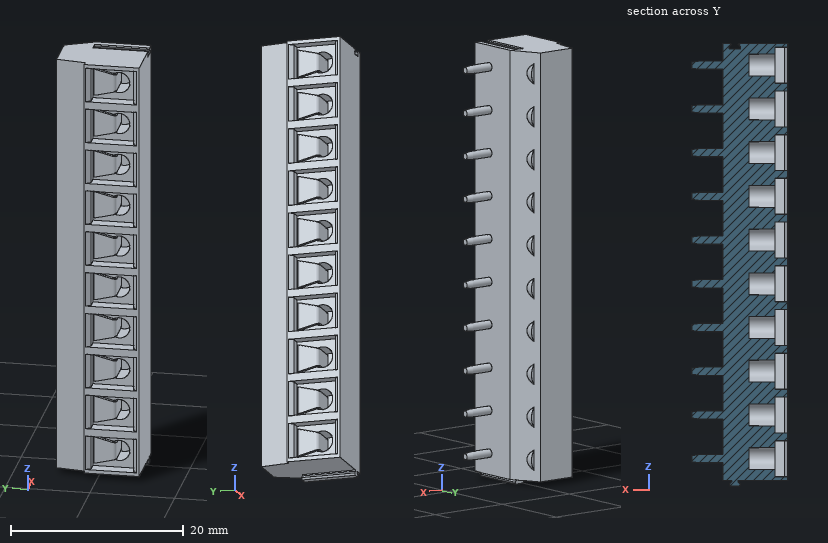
import cadquery as cq

pole_count = 10
pitch = 5.08
body_width = 7.6
body_depth = 10.0
body_height = pole_count * pitch

shoulder_y = 6.5
shoulder_width = 0.6
crest_start_x = 1.1
crest_end_x = 5.9

total_width = 11.2
pin_diameter = 1.0
pin_tip_diameter = 0.75
pin_taper_length = 0.85
pin_y = 2.65

collar_diameter = 4.0
collar_reach_x = 6.65
collar_top_y = 9.3
collar_height = 2.0

pocket_bottom_y = 0.3
pocket_top_y = 6.32
pocket_height = 4.15
pocket_depth = 1.5
bevel_depth = 0.4
lower_bevel = 0.42
upper_bevel = 0.57
wire_hole_diameter = 2.5
wire_hole_depth = 3.0

tongue_root_y = 5.65
tongue_tip_y = 2.92
tongue_root_width = 3.35
tongue_tip_width = 2.0
tongue_thickness = 0.42
tongue_leg_thickness = 0.3

rail_x = 6.17
rail_height = 0.68
neck_width = 0.77
head_width = 1.3
foot_width = 1.05
neck_length = 0.15
flare_end = 0.42
groove_mouth_width = 1.08
groove_throat_depth = 0.12
groove_depth = 0.65


def make_body():
    outline = [
        (0, 0),
        (body_width, 0),
        (body_width, shoulder_y),
        (crest_end_x, body_depth),
        (crest_start_x, body_depth),
        (shoulder_width, shoulder_y),
        (0, shoulder_y),
    ]
    return cq.Workplane("XY").polyline(outline).close().extrude(body_height)


def symmetric_prism(half_outline, top_z):
    """Extrude (half width, depth below top_z) points, mirrored about rail_x, from y = 0 to the shoulder."""
    left = [(rail_x - half, top_z - depth) for half, depth in half_outline]
    right = [(rail_x + half, top_z - depth) for half, depth in reversed(half_outline)]
    return cq.Workplane("XZ").polyline(left + right).close().extrude(-shoulder_y)


def make_rail():
    return symmetric_prism(
        [
            (neck_width / 2, 0),
            (neck_width / 2, neck_length),
            (head_width / 2, flare_end),
            (foot_width / 2, rail_height),
        ],
        0,
    )


def make_groove():
    return symmetric_prism(
        [
            (groove_mouth_width / 2, 0),
            (neck_width / 2, groove_throat_depth),
            (head_width / 2, flare_end),
            (head_width / 2, groove_depth),
        ],
        body_height,
    )


def make_pocket(center_z):
    """Pocket with bevelled lower and upper lips, plus the round wire hole in its floor."""
    outline = [
        (0, pocket_bottom_y),
        (bevel_depth, pocket_bottom_y + lower_bevel),
        (pocket_depth, pocket_bottom_y + lower_bevel),
        (pocket_depth, pocket_top_y - upper_bevel),
        (bevel_depth, pocket_top_y - upper_bevel),
        (0, pocket_top_y),
    ]
    recess = (
        cq.Workplane("XY", origin=(0, 0, center_z))
        .polyline(outline)
        .close()
        .extrude(pocket_height / 2, both=True)
    )
    hole = (
        cq.Workplane("YZ", origin=(pocket_depth, pin_y, center_z))
        .circle(wire_hole_diameter / 2)
        .extrude(wire_hole_depth)
    )
    return recess.union(hole)


def make_tongue(center_z):
    """Tapered plate with both ends rounded over and a flat leg reaching to the bottom of the wire hole."""
    plate_outline = [
        (tongue_root_y, center_z - tongue_root_width / 2),
        (tongue_root_y, center_z + tongue_root_width / 2),
        (tongue_tip_y, center_z + tongue_tip_width / 2),
        (tongue_tip_y, center_z - tongue_tip_width / 2),
    ]
    face_x = pocket_depth - tongue_thickness
    plate = (
        cq.Workplane("YZ", origin=(face_x, 0, 0))
        .polyline(plate_outline)
        .close()
        .extrude(tongue_thickness)
    )
    rounded_side = (
        cq.Workplane("XY", origin=(0, 0, center_z))
        .moveTo(pocket_depth, tongue_tip_y)
        .radiusArc((face_x, tongue_tip_y + tongue_thickness), tongue_thickness)
        .lineTo(face_x, tongue_root_y - tongue_thickness)
        .radiusArc((pocket_depth, tongue_root_y), tongue_thickness)
        .close()
        .extrude(tongue_root_width, both=True)
    )
    leg = cq.Workplane("XY").box(
        wire_hole_depth, tongue_leg_thickness, tongue_tip_width, centered=(False, False, True)
    )
    return plate.intersect(rounded_side).union(leg.translate((pocket_depth, tongue_tip_y, center_z)))


def make_collar(center_z):
    collar_x = collar_reach_x - collar_diameter / 2
    return (
        cq.Workplane("XZ", origin=(collar_x, collar_top_y, center_z))
        .circle(collar_diameter / 2)
        .extrude(collar_height)
    )


def make_pin(center_z):
    taper_start_x = total_width - pin_taper_length
    shank = (
        cq.Workplane("YZ", origin=(body_width, pin_y, center_z))
        .circle(pin_diameter / 2)
        .extrude(taper_start_x - body_width)
    )
    tip = (
        cq.Workplane("YZ", origin=(taper_start_x, pin_y, center_z))
        .circle(pin_diameter / 2)
        .workplane(offset=pin_taper_length)
        .circle(pin_tip_diameter / 2)
        .loft()
    )
    return shank.union(tip)


result = make_body().cut(make_groove()).union(make_rail())
for pole in range(pole_count):
    pole_z = (pole + 0.5) * pitch
    result = result.cut(make_pocket(pole_z))
    result = result.union(make_tongue(pole_z))
    result = result.union(make_collar(pole_z))
    result = result.union(make_pin(pole_z))